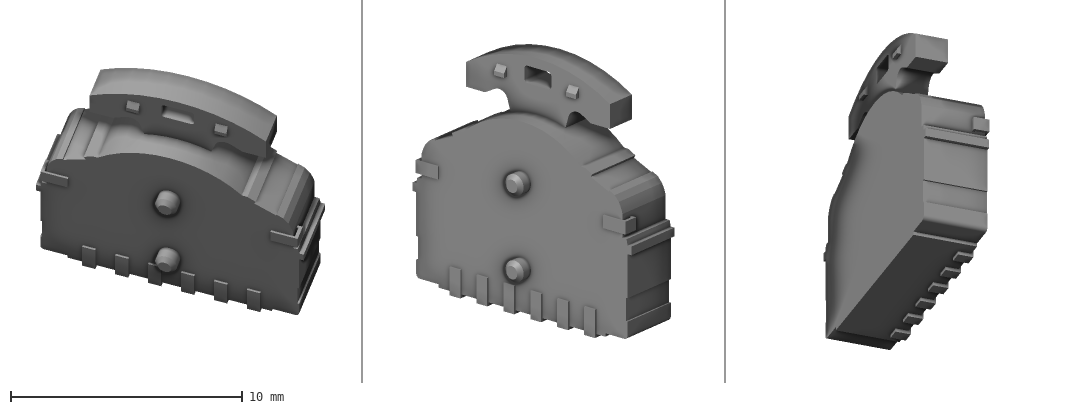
import cadquery as cq


HOUSING_DEPTH = 2.95
HOUSING_BOTTOM = 0.16
FOOT_HALF_WIDTH = 4.65
SKIRT_BOTTOM = 0.32
SKIRT_HALF_WIDTH = 5.89
SKIRT_CORNER_RADIUS = 0.2
RECESS_DEPTH = 0.09
RECESS_BOTTOM = 1.16
RECESS_TOP = 2.25
TAB_HALF_WIDTH = 6.1
TAB_BOTTOM = 4.28
TAB_TOP = 4.68
SHOULDER_HALF_WIDTH = 5.61
LEDGE_HALF_WIDTH = 5.83
LEDGE_HEIGHT = 4.97
SHOULDER_ARC_START = (SHOULDER_HALF_WIDTH, 6.08)
SHOULDER_ARC_MIDDLE = (5.53, 6.33)
SHOULDER_ARC_END = (5.4, 6.59)
SHOULDER_BEVEL_END = (5.17, 6.85)
SLOPE_STEP_TOP = (4.87, 6.99)
SLOPE_STEP_BOTTOM = (4.84, 6.93)
SLOPE_END = (3.84, 7.37)
LIP_OUTER = (3.92, 7.5)
LIP_INNER = (3.54, 7.7)
DOME_HALF_WIDTH = 3.28
DOME_RADIUS = 4.84
DOME_TOP = 8.99

KNOB_FRONT = 1.1
KNOB_THICKNESS = 1.5
KNOB_TOP = 11.58
KNOB_HALF_WIDTH = 4.01
KNOB_END_TOP = 10.44
KNOB_END_BOTTOM = 9.3
KNOB_FLAT_INNER = 2.95
THROAT_CORNER = (1.88, 9.87)
THROAT_RADIUS = 0.5
NECK_HALF_WIDTH = 1.54
NECK_EXIT_HEIGHT = 8.76
NECK_ROOT = 8.05
WINDOW_WIDTH = 1.49
WINDOW_BOTTOM = 10.3
WINDOW_TOP = 11.1
WINDOW_RADIUS = 0.15

CATCH_INNER = 1.73
CATCH_WIDTH = 0.55
CATCH_HEIGHT = 0.2
CATCH_BOTTOM = 10.31
CATCH_RIDGE = 10.52
CATCH_TOP = 10.8

PEG_RADIUS = 0.5
PEG_LENGTH = 0.7
PEG_CHAMFER = 0.2
PEG_HEIGHTS = (2.2, 6.2)

TERMINAL_PROUD = 0.1
TERMINAL_REACH = 0.61
TERMINAL_WIDTH = 0.6
TERMINAL_PITCH = 1.5
TERMINAL_ROW_OFFSET = 0.1
TERMINAL_COUNT = 6
TERMINAL_TOP = 1.32
SIDE_TERMINAL_BOTTOM = 5.21
SIDE_TERMINAL_INNER = 4.61
SIDE_TERMINAL_OUTER = 5.85
SIDE_TERMINAL_THICKNESS = 0.16
SIDE_TERMINAL_HOOK = 0.11


def box(x_range, y_range, z_range):
    """Block between the given limits along each axis."""
    corner = (x_range[0], y_range[0], z_range[0])
    size = (x_range[1] - x_range[0], y_range[1] - y_range[0], z_range[1] - z_range[0])
    return cq.Workplane("XY").box(*size, centered=False).translate(corner)


def with_mirror(half):
    """Join a +X half with its mirror image across X = 0."""
    return half.union(half.mirror("YZ"))


def extrude_back(sketch, front, depth):
    """Extrude an XZ outline toward +Y, starting at Y = front."""
    return sketch.extrude(-depth).translate((0, front, 0))


def circle_height(x, radius, top):
    """Height at x of an arc centred on X = 0 with the given radius and highest point."""
    return top - radius + (radius**2 - x**2) ** 0.5


def make_housing():
    recess_half_width = SKIRT_HALF_WIDTH - RECESS_DEPTH
    dome_end = (DOME_HALF_WIDTH, circle_height(DOME_HALF_WIDTH, DOME_RADIUS, DOME_TOP))
    dome_middle_x = DOME_HALF_WIDTH / 2
    dome_middle = (dome_middle_x, circle_height(dome_middle_x, DOME_RADIUS, DOME_TOP))
    outline = (
        cq.Workplane("XZ")
        .moveTo(0, HOUSING_BOTTOM)
        .lineTo(FOOT_HALF_WIDTH, HOUSING_BOTTOM)
        .lineTo(FOOT_HALF_WIDTH, SKIRT_BOTTOM)
        .lineTo(SKIRT_HALF_WIDTH - SKIRT_CORNER_RADIUS, SKIRT_BOTTOM)
        .radiusArc((SKIRT_HALF_WIDTH, SKIRT_BOTTOM + SKIRT_CORNER_RADIUS), -SKIRT_CORNER_RADIUS)
        .lineTo(SKIRT_HALF_WIDTH, RECESS_BOTTOM)
        .lineTo(recess_half_width, RECESS_BOTTOM)
        .lineTo(recess_half_width, RECESS_TOP)
        .lineTo(SKIRT_HALF_WIDTH, RECESS_TOP)
        .lineTo(SKIRT_HALF_WIDTH, TAB_BOTTOM)
        .lineTo(TAB_HALF_WIDTH, TAB_BOTTOM)
        .lineTo(TAB_HALF_WIDTH, TAB_TOP)
        .lineTo(SKIRT_HALF_WIDTH, TAB_TOP)
        .lineTo(LEDGE_HALF_WIDTH, LEDGE_HEIGHT)
        .lineTo(SHOULDER_HALF_WIDTH, LEDGE_HEIGHT)
        .lineTo(*SHOULDER_ARC_START)
        .threePointArc(SHOULDER_ARC_MIDDLE, SHOULDER_ARC_END)
        .lineTo(*SHOULDER_BEVEL_END)
        .lineTo(*SLOPE_STEP_TOP)
        .lineTo(*SLOPE_STEP_BOTTOM)
        .lineTo(*SLOPE_END)
        .lineTo(*LIP_OUTER)
        .lineTo(*LIP_INNER)
        .lineTo(*dome_end)
        .threePointArc(dome_middle, (0, DOME_TOP))
        .close()
    )
    return with_mirror(extrude_back(outline, 0, HOUSING_DEPTH))


def make_knob():
    rise = KNOB_TOP - KNOB_END_TOP
    crown_radius = (KNOB_HALF_WIDTH**2 + rise**2) / (2 * rise)
    outline = (
        cq.Workplane("XZ")
        .moveTo(0, NECK_ROOT)
        .lineTo(NECK_HALF_WIDTH, NECK_ROOT)
        .lineTo(NECK_HALF_WIDTH, NECK_EXIT_HEIGHT)
        .lineTo(*THROAT_CORNER)
        .lineTo(KNOB_FLAT_INNER, KNOB_END_BOTTOM)
        .lineTo(KNOB_HALF_WIDTH, KNOB_END_BOTTOM)
        .lineTo(KNOB_HALF_WIDTH, KNOB_END_TOP)
        .radiusArc((0, KNOB_TOP), -crown_radius)
        .close()
    )
    half = extrude_back(outline, KNOB_FRONT, KNOB_THICKNESS)
    throat_edge = cq.selectors.NearestToPointSelector(
        (THROAT_CORNER[0], KNOB_FRONT + KNOB_THICKNESS / 2, THROAT_CORNER[1])
    )
    half = half.edges("|Y").edges(throat_edge).fillet(THROAT_RADIUS)
    window = box(
        (-WINDOW_WIDTH / 2, WINDOW_WIDTH / 2),
        (KNOB_FRONT, KNOB_FRONT + KNOB_THICKNESS),
        (WINDOW_BOTTOM, WINDOW_TOP),
    )
    return with_mirror(half).cut(window.edges("|Y").fillet(WINDOW_RADIUS))


def make_catches():
    """Wedges whose upper faces slope down and outward from the knob faces."""
    front = KNOB_FRONT
    back = KNOB_FRONT + KNOB_THICKNESS
    profile = [
        (front, CATCH_TOP),
        (front - CATCH_HEIGHT, CATCH_RIDGE),
        (front - CATCH_HEIGHT, CATCH_BOTTOM),
        (back + CATCH_HEIGHT, CATCH_BOTTOM),
        (back + CATCH_HEIGHT, CATCH_RIDGE),
        (back, CATCH_TOP),
    ]
    catch = cq.Workplane("YZ").polyline(profile).close().extrude(CATCH_WIDTH)
    return with_mirror(catch.translate((CATCH_INNER, 0, 0)))


def make_peg(height):
    return (
        cq.Workplane("XZ")
        .center(0, height)
        .circle(PEG_RADIUS)
        .extrude(PEG_LENGTH)
        .faces("<Y")
        .chamfer(PEG_CHAMFER)
    )


def make_terminal(x):
    """L-shaped strip: an upright on the housing front and a foot under the housing."""
    x_range = (x - TERMINAL_WIDTH / 2, x + TERMINAL_WIDTH / 2)
    upright = box(x_range, (-TERMINAL_PROUD, 0), (0, TERMINAL_TOP))
    foot = box(x_range, (-TERMINAL_PROUD, TERMINAL_REACH), (0, HOUSING_BOTTOM))
    return upright.union(foot)


def make_side_terminals():
    """Strips on the housing front that hook around its sides, leaving a narrow gap there."""
    z_range = (SIDE_TERMINAL_BOTTOM, SIDE_TERMINAL_BOTTOM + TERMINAL_WIDTH)
    strip = box((SIDE_TERMINAL_INNER, SIDE_TERMINAL_OUTER), (-TERMINAL_PROUD, TERMINAL_REACH), z_range)
    gap = box(
        (SHOULDER_HALF_WIDTH, SIDE_TERMINAL_OUTER - SIDE_TERMINAL_THICKNESS),
        (0, TERMINAL_REACH - SIDE_TERMINAL_HOOK),
        z_range,
    )
    return with_mirror(strip.cut(gap))


result = make_housing().union(make_knob()).union(make_catches()).union(make_side_terminals())
for peg_height in PEG_HEIGHTS:
    result = result.union(make_peg(peg_height))
for index in range(TERMINAL_COUNT):
    terminal_x = TERMINAL_ROW_OFFSET + (index - (TERMINAL_COUNT - 1) / 2) * TERMINAL_PITCH
    result = result.union(make_terminal(terminal_x))